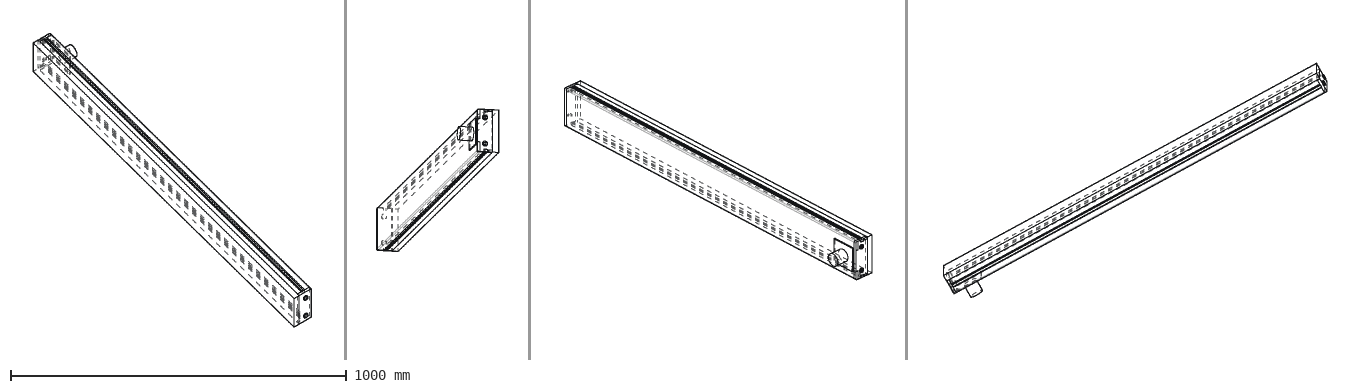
import cadquery as cq

overall_length = 1276.0
overall_depth = 110.0
height = 130.0
stud_length = 4.0
beam_length = overall_length - stud_length
pad_depth = 19.0
back_y = 65.0
half_height = height / 2

cap_thickness = 8.3
back_corner_radius = 4.0
channel_width = 8.0
channel_depth = 8.0
channel_back_y = 46.0
channel_front_y = channel_back_y - channel_width
ledge_depth = 3.0
ledge_front_y = 35.0

screw_y = 42.0
screw_spacing = 80.0
screw_head_diameter = 15.0
screw_socket_diameter = 8.0
head_recess_depth = 1.0
socket_depth = 4.0

face_recess_depth = 0.6
back_recess_depth = 8.0
back_recess_inner_z = 36.0
front_recess_length = 11.0
front_recess_depth = 6.0

port_x = 52.0
flange_size = 80.0
flange_thickness = 4.0
pipe_diameter = 41.0


def box_between(x_range, y_range, z_range):
    """Box spanning three (low, high) ranges."""
    sizes = [high - low for low, high in (x_range, y_range, z_range)]
    corner = (x_range[0], y_range[0], z_range[0])
    return cq.Workplane("XY").box(*sizes, centered=False).translate(corner)


def cut_top_and_bottom(body, x_range, y_range, depth):
    """Cut the same rectangular recess into the top and the bottom of a body."""
    body = body.cut(box_between(x_range, y_range, (half_height - depth, half_height)))
    return body.cut(box_between(x_range, y_range, (-half_height, depth - half_height)))


def beam_section(x_range):
    """Length of the beam behind the pad, rounded along its two back corners."""
    block = box_between(x_range, (pad_depth, back_y), (-half_height, half_height))
    return block.edges("|X and >Y").fillet(back_corner_radius)


def screw_cylinders(start_x, diameter, length):
    """Two cylinders along +X on the screw axes."""
    return (
        cq.Workplane("YZ", origin=(start_x, screw_y, 0))
        .rarray(13, screw_spacing, 1, 2)
        .circle(diameter / 2)
        .extrude(length)
    )


def make_pad():
    return box_between((0, beam_length), (0, pad_depth), (-half_height, half_height))


def make_profile():
    x_range = (cap_thickness, beam_length - cap_thickness)
    profile = beam_section(x_range)
    profile = cut_top_and_bottom(profile, x_range, (channel_front_y, channel_back_y), channel_depth)
    return cut_top_and_bottom(profile, x_range, (ledge_front_y, channel_front_y), ledge_depth)


def make_left_cap():
    cap = beam_section((0, cap_thickness))
    cap = cap.cut(screw_cylinders(0, screw_head_diameter, head_recess_depth))
    cap = cap.cut(screw_cylinders(0, screw_socket_diameter, socket_depth))

    face_range = (0, face_recess_depth)
    cap = cut_top_and_bottom(cap, face_range, (ledge_front_y, channel_back_y), channel_depth)
    front_range = (pad_depth, pad_depth + front_recess_length)
    cap = cut_top_and_bottom(cap, face_range, front_range, front_recess_depth)
    back_range = (back_y - back_recess_depth, back_y)
    return cut_top_and_bottom(cap, face_range, back_range, half_height - back_recess_inner_z)


def make_right_cap():
    cap = beam_section((beam_length - cap_thickness, beam_length))
    return cap.union(screw_cylinders(beam_length, screw_head_diameter, stud_length))


def make_port():
    flange = cq.Workplane("XZ", origin=(port_x, back_y, 0)).rect(flange_size, flange_size)
    pipe = cq.Workplane("XZ", origin=(port_x, back_y, 0)).circle(pipe_diameter / 2)
    return flange.extrude(-flange_thickness).union(pipe.extrude(back_y - overall_depth))


pad = make_pad()
profile = make_profile()
left_cap = make_left_cap()
right_cap = make_right_cap()
port = make_port()

result = cq.Compound.makeCompound(
    [pad.val(), profile.val(), left_cap.val(), right_cap.val(), port.val()]
)